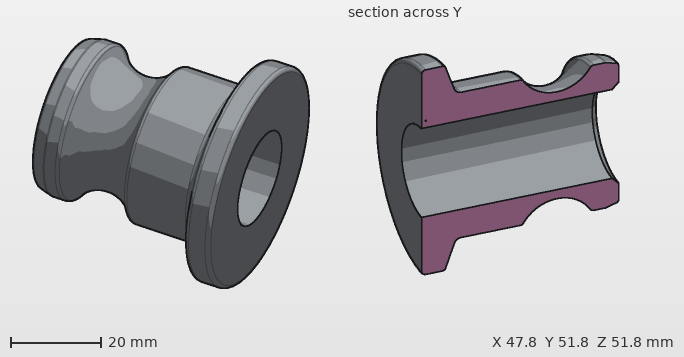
import cadquery as cq
import math

flange_diameter = 51.8
body_diameter = 36.85
nose_diameter = 35.05
bore_diameter = 22.35

total_length = 47.75
nose_taper_length = 3.25
groove_center_x = 15.0
flange_rim_length = 5.7

groove_radius = 9.55
groove_depth = 4.85
flange_cone_angle = 20
bore_chamfer = 1.6

edge_radius = 1.0
nose_edge_radius = 0.7
neck_radius = 1.45

edge_search_margin = 0.005

nose_r = nose_diameter / 2
body_r = body_diameter / 2
flange_r = flange_diameter / 2

groove_floor_r = body_r - groove_depth
groove_half_width = math.sqrt(groove_radius**2 - (groove_radius - groove_depth) ** 2)
groove_start_x = groove_center_x - groove_half_width
groove_end_x = groove_center_x + groove_half_width

rim_start_x = total_length - flange_rim_length
neck_x = rim_start_x - (flange_r - body_r) * math.tan(math.radians(flange_cone_angle))


def turned_body():
    """Solid of revolution about X with sharp corners."""
    return (
        cq.Workplane("XY")
        .lineTo(0, nose_r)
        .lineTo(nose_taper_length, body_r)
        .lineTo(groove_start_x, body_r)
        .threePointArc((groove_center_x, groove_floor_r), (groove_end_x, body_r))
        .lineTo(neck_x, body_r)
        .lineTo(rim_start_x, flange_r)
        .lineTo(total_length, flange_r)
        .lineTo(total_length, 0)
        .close()
        .revolve(360, (0, 0, 0), (1, 0, 0))
    )


def round_edge(body, x, fillet_radius):
    """Fillet the circular edge that lies in the plane at station x."""
    plane_slab = cq.selectors.BoxSelector(
        (x - edge_search_margin, -flange_r, -flange_r),
        (x + edge_search_margin, flange_r, flange_r),
    )
    return body.edges("%CIRCLE").edges(plane_slab).fillet(fillet_radius)


def cut_bore(body):
    """Through bore along X, chamfered at the nose face."""
    bore = cq.Workplane("YZ").circle(bore_diameter / 2).extrude(total_length)
    bored = body.cut(bore)
    smallest_circle = cq.selectors.RadiusNthSelector(0)
    return bored.faces("<X").edges(smallest_circle).chamfer(bore_chamfer)


rounded_corners = [
    (0, nose_edge_radius),
    (nose_taper_length, edge_radius),
    (groove_start_x, edge_radius),
    (groove_end_x, edge_radius),
    (neck_x, neck_radius),
    (rim_start_x, edge_radius),
    (total_length, edge_radius),
]

body = turned_body()
for corner_x, corner_radius in rounded_corners:
    body = round_edge(body, corner_x, corner_radius)

result = cut_bore(body)